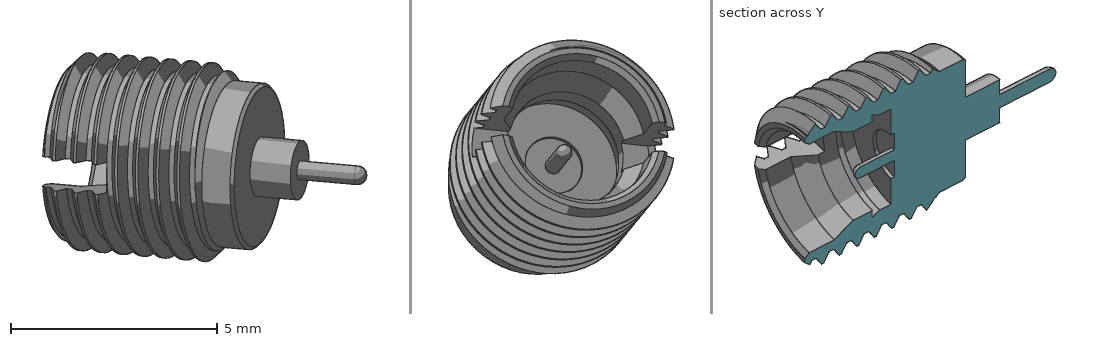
import cadquery as cq
import math


SHELL_LENGTH = 4.86
SHOULDER_RADIUS = 4.06 / 2
SHOULDER_CHAMFER = 0.08

MAJOR_RADIUS = 4.83 / 2
MM_PER_INCH = 25.4
THREADS_PER_INCH = 48
PITCH = MM_PER_INCH / THREADS_PER_INCH
SHARP_HEIGHT = math.sqrt(3) / 2 * PITCH
THREAD_DEPTH = 5 / 8 * SHARP_HEIGHT
ROOT_RADIUS = MAJOR_RADIUS - THREAD_DEPTH
ROOT_WIDTH = PITCH / 4
FLANK_ANGLE = 30
FLANK_SLOPE = math.tan(math.radians(FLANK_ANGLE))
GROOVE_OVERLAP = 0.02
THREAD_END = 4.06
MOUTH_OUTER_RADIUS = 2.08
CREST_POSITION = 0.81
RUNOUT_TURNS = 2

MOUTH_INNER_RADIUS = 1.934
MOUTH_CHAMFER = 0.13
ENTRY_RADIUS = MOUTH_INNER_RADIUS - MOUTH_CHAMFER
CONE_START = 0.89
CONE_END = 1.46
NECK_RADIUS = 2.95 / 2
NECK_END = 2.04
UNDERCUT_RADIUS = 3.4 / 2
CAVITY_START = 2.26
CAVITY_RADIUS = 3.17 / 2
CAVITY_END = 2.6

SLOT_WIDTH = 0.75
SLOT_DEPTH = 1.66

INSULATOR_RADIUS = 1.45 / 2
INSULATOR_END = 5.89
INSULATOR_RECESS = 0.1
FRONT_PIN_RADIUS = 0.38 / 2
FRONT_PIN_TIP = 1.51
REAR_PIN_RADIUS = 0.458 / 2
REAR_PIN_TIP = 7.59


def revolve_about_x(points):
    """Solid of revolution from (x, radius) points; the outline closes along the axis."""
    return cq.Workplane("XY").polyline(points).close().revolve(360, (0, 0, 0), (1, 0, 0))


def cylinder_along_x(start, end, radius):
    return cq.Workplane("YZ").workplane(offset=start).circle(radius).extrude(end - start)


def make_thread_groove():
    """Helical groove, running out past both ends of the threaded length."""
    outer = MAJOR_RADIUS + GROOVE_OVERLAP
    half_root = ROOT_WIDTH / 2
    half_mouth = half_root + (outer - ROOT_RADIUS) * FLANK_SLOPE
    corners = [
        (ROOT_RADIUS, -half_root),
        (outer, -half_mouth),
        (outer, half_mouth),
        (ROOT_RADIUS, half_root),
    ]
    first_groove = CREST_POSITION - PITCH / 2
    start = first_groove - RUNOUT_TURNS * PITCH
    turns = math.ceil((THREAD_END - start) / PITCH) + 1
    edges = [
        cq.Wire.makeHelix(PITCH, turns * PITCH, radius, center=cq.Vector(0, 0, offset))
        for radius, offset in corners
    ]
    sides = [
        cq.Face.makeRuledSurface(edge, following)
        for edge, following in zip(edges, edges[1:] + edges[:1])
    ]
    first_end = cq.Wire.makePolygon([edge.startPoint() for edge in edges], close=True)
    last_end = cq.Wire.makePolygon([edge.endPoint() for edge in edges], close=True)
    ends = [cq.Face.makeFromWires(first_end), cq.Face.makeFromWires(last_end)]
    groove = cq.Solid.makeSolid(cq.Shell.makeShell(sides + ends)).fix()
    along_x = cq.Plane(origin=(start, 0, 0), xDir=(0, 0, 1), normal=(1, 0, 0))
    return cq.Workplane(groove.moved(cq.Location(along_x)))


def make_shell_blank():
    """Outside of the shell before the thread groove is cut."""
    mouth_chamfer = MAJOR_RADIUS - MOUTH_OUTER_RADIUS
    end_chamfer = MAJOR_RADIUS - SHOULDER_RADIUS
    return revolve_about_x([
        (0, 0),
        (0, MOUTH_OUTER_RADIUS),
        (mouth_chamfer, MAJOR_RADIUS),
        (THREAD_END - end_chamfer, MAJOR_RADIUS),
        (THREAD_END, SHOULDER_RADIUS),
        (SHELL_LENGTH - SHOULDER_CHAMFER, SHOULDER_RADIUS),
        (SHELL_LENGTH, SHOULDER_RADIUS - SHOULDER_CHAMFER),
        (SHELL_LENGTH, 0),
    ])


def make_bore():
    return revolve_about_x([
        (0, 0),
        (0, MOUTH_INNER_RADIUS),
        (MOUTH_CHAMFER, ENTRY_RADIUS),
        (CONE_START, ENTRY_RADIUS),
        (CONE_END, NECK_RADIUS),
        (NECK_END, NECK_RADIUS),
        (NECK_END, UNDERCUT_RADIUS),
        (CAVITY_START, CAVITY_RADIUS),
        (CAVITY_END, CAVITY_RADIUS),
        (CAVITY_END, 0),
    ])


def make_slot():
    return cq.Workplane("XY").box(
        SLOT_DEPTH, 2 * MAJOR_RADIUS, SLOT_WIDTH, centered=(False, True, True)
    )


def make_pin(base, tip, radius):
    """Pin along X from base to a hemispherical tip, pointing either way."""
    dome_center = tip + math.copysign(radius, base - tip)
    shank = cylinder_along_x(base, dome_center, radius)
    dome = cq.Workplane("XY").sphere(radius).translate((dome_center, 0, 0))
    return shank.union(dome)


insulator_start = CAVITY_END + INSULATOR_RECESS
insulator_hole = cylinder_along_x(CAVITY_END, insulator_start, INSULATOR_RADIUS)
insulator = cylinder_along_x(insulator_start, INSULATOR_END, INSULATOR_RADIUS)

result = (
    make_shell_blank()
    .cut(make_thread_groove())
    .cut(make_bore())
    .cut(make_slot())
    .cut(insulator_hole)
    .union(insulator)
    .union(make_pin(INSULATOR_END, FRONT_PIN_TIP, FRONT_PIN_RADIUS))
    .union(make_pin(INSULATOR_END, REAR_PIN_TIP, REAR_PIN_RADIUS))
)